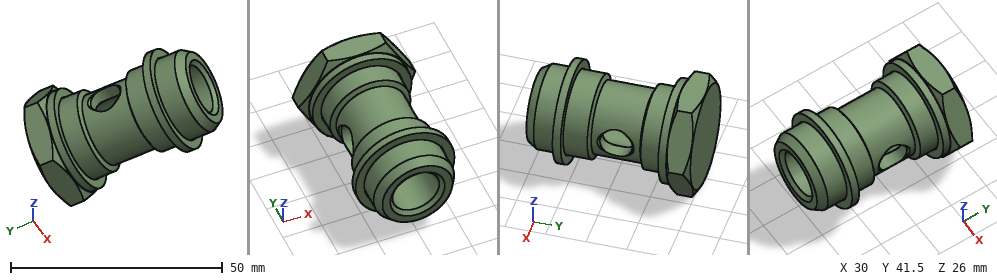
import cadquery as cq
import math

length = 41.5

head_thickness = 6.0
across_flats = 26.0
head_face_diameter = 25.75
head_chamfer_angle = 30.0
head_start = length - head_thickness

shank_diameter = 20.7
waist_diameter = 18.0
tip_diameter = 18.0
tip_chamfer_length = 2.2
waist_start = 15.98
waist_length = 12.0
shoulder_length = 0.6
waist_end = waist_start + waist_length

bore_diameter = 12.0
bore_depth = 33.0
bore_mouth_diameter = 14.0
drill_point_angle = 118.0

cross_diameter = 8.0
cross_chamfer = 0.5
cross_position = waist_start + waist_length / 2

washer_diameter = 25.4
washer_bore_diameter = 21.0
washer_thickness = 2.0
tip_washer_start = 7.5
washer_starts = [head_start - washer_thickness, tip_washer_start]


def revolve_about_y(profile):
    """Revolve a closed (radius, Y) outline about the bolt axis."""
    return cq.Workplane("XY").polyline(profile).close().revolve(360, (0, 0, 0), (0, 1, 0))


def make_head():
    """Hexagon with corners on X, its corners chamfered conically on both faces."""
    corner_radius = across_flats / math.sqrt(3)
    face_radius = head_face_diameter / 2
    chamfer_length = (corner_radius - face_radius) * math.tan(math.radians(head_chamfer_angle))
    hexagon = (
        cq.Workplane("XZ", origin=(0, length, 0))
        .polygon(6, 2 * corner_radius)
        .extrude(head_thickness)
    )
    envelope = revolve_about_y([
        (0, head_start),
        (face_radius, head_start),
        (corner_radius, head_start + chamfer_length),
        (corner_radius, length - chamfer_length),
        (face_radius, length),
        (0, length),
    ])
    return hexagon.intersect(envelope)


def make_shank():
    """Turned shank from the chamfered tip to the underside of the head."""
    shank_radius = shank_diameter / 2
    waist_radius = waist_diameter / 2
    return revolve_about_y([
        (0, 0),
        (tip_diameter / 2, 0),
        (shank_radius, tip_chamfer_length),
        (shank_radius, waist_start - shoulder_length),
        (waist_radius, waist_start),
        (waist_radius, waist_end),
        (shank_radius, waist_end + shoulder_length),
        (shank_radius, head_start),
        (0, head_start),
    ])


def make_bore():
    """Axial bore with a 45 degree mouth chamfer and a conical bottom."""
    bore_radius = bore_diameter / 2
    mouth_radius = bore_mouth_diameter / 2
    point_length = bore_radius / math.tan(math.radians(drill_point_angle / 2))
    return revolve_about_y([
        (0, 0),
        (mouth_radius, 0),
        (bore_radius, mouth_radius - bore_radius),
        (bore_radius, bore_depth),
        (0, bore_depth + point_length),
    ])


def make_cross_hole():
    """Hole along X, flared at 45 degrees where it leaves the waist on either side."""
    hole_radius = cross_diameter / 2
    waist_radius = waist_diameter / 2
    flare_start = waist_radius - cross_chamfer
    flare_radius = hole_radius + cross_chamfer
    profile = [
        (-waist_radius, 0),
        (-waist_radius, flare_radius),
        (-flare_start, hole_radius),
        (flare_start, hole_radius),
        (waist_radius, flare_radius),
        (waist_radius, 0),
    ]
    hole = cq.Workplane("XY").polyline(profile).close().revolve(360, (0, 0, 0), (1, 0, 0))
    return hole.translate((0, cross_position, 0))


def make_bolt():
    return make_shank().union(make_head()).cut(make_bore()).cut(make_cross_hole())


def make_washer(start):
    """Flat ring around the shank, occupying start to start + washer_thickness along Y."""
    return (
        cq.Workplane("XZ", origin=(0, start + washer_thickness, 0))
        .circle(washer_diameter / 2)
        .circle(washer_bore_diameter / 2)
        .extrude(washer_thickness)
    )


bolt = make_bolt()
washers = [make_washer(start) for start in washer_starts]

result = cq.Compound.makeCompound([bolt.val(), *[washer.val() for washer in washers]])